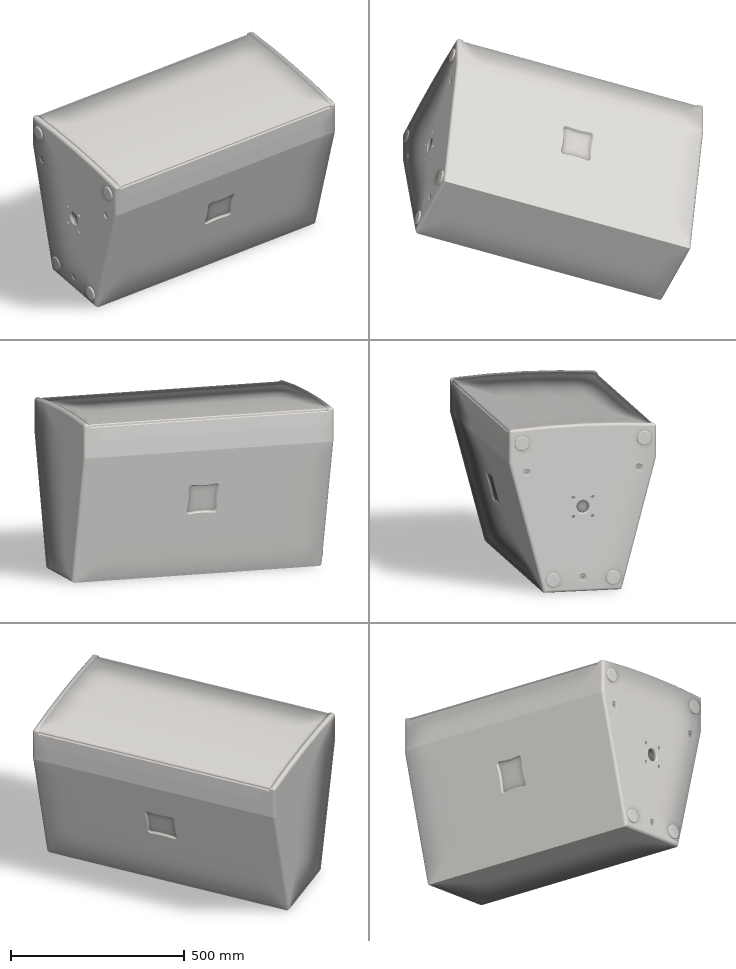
import cadquery as cq
import math


WIDTH = 435.0
LENGTH = 769.0
HEIGHT = 494.0
BASE_WIDTH = 231.0
BEND_Z = 384.5
CROWN_RISE = 9.0

FOOT_HEIGHT = 4.5
FOOT_DIAMETER = 42.0
FOOT_ROUND = 3.0
FOOT_CENTRES = [(181.0, 444.5), (89.0, 38.0)]

CAP_THICKNESS = 18.5
CAP_ROUND = 8.5
CAP_BEVEL_RUN = 4.5
CAP_BEVEL_DROP = 8.0

SHOULDER_Z = 475.0
SHOULDER_BEVEL = 4.0
GRILLE_DROP = 3.0
GRILLE_INSET = 5.0
GRILLE_BEVEL = 2.0

RELIEF_BOTTOM_Z = 434.5
RELIEF_DEPTH = 1.5
RELIEF_END_GAP = 1.5
RELIEF_END_RUN = 31.5

BADGE_SIZE = 98.5
BADGE_BOW = 5.0
BADGE_CORNER_RADIUS = 10.0
BADGE_DEPTH = 6.0
BADGE_WALL_RUN = 4.5
BADGE_Y = 8.0
BADGE_Z = 234.0

PLATE_DIAMETER = 108.0
PLATE_Z = 249.0
SOCKET_RIM_DIAMETER = 42.0
SOCKET_DIAMETER = 36.0
SOCKET_DEPTH = 15.0
PLATE_SCREW_OFFSET = 28.5

PLATE_SCREW = (11.5, 8.5, 5.0)
RIGGING_SCREW = (21.5, 15.0, 5.0)
RIGGING_POINTS = [(-166.0, 358.0), (166.0, 358.0), (0, 42.0)]
SCREW_RECESS_DEPTH = 4.0
SCREW_DRIVE_DEPTH = 4.0

HALF_WIDTH = WIDTH / 2
HALF_BASE = BASE_WIDTH / 2
EAVE_Z = HEIGHT - CROWN_RISE
FRONT_Y = FOOT_HEIGHT - LENGTH / 2
BACK_Y = LENGTH / 2
BODY_FRONT_Y = FRONT_Y + CAP_THICKNESS
BODY_BACK_Y = BACK_Y - CAP_THICKNESS
BODY_LENGTH = BODY_BACK_Y - BODY_FRONT_Y
ROOF_RADIUS = (HALF_WIDTH**2 + CROWN_RISE**2) / (2 * CROWN_RISE)


def section_at(y):
    """Sketch plane at a given Y with local axes X and Z; positive extrusion goes towards -Y."""
    return cq.Workplane("XZ", origin=(0, y, 0))


def roof_z(x):
    """Height of the curved cap roof at a given x."""
    return HEIGHT - ROOF_RADIUS + math.sqrt(ROOF_RADIUS**2 - x**2)


def both_sides(solid):
    """The solid together with its mirror image across the middle plane."""
    return solid.union(solid.mirror("YZ"))


def make_front_cap():
    cap = (
        section_at(FRONT_Y)
        .moveTo(-HALF_BASE, 0)
        .lineTo(HALF_BASE, 0)
        .lineTo(HALF_WIDTH, BEND_Z)
        .lineTo(HALF_WIDTH, EAVE_Z)
        .threePointArc((0, HEIGHT), (-HALF_WIDTH, EAVE_Z))
        .lineTo(-HALF_WIDTH, BEND_Z)
        .close()
        .extrude(-CAP_THICKNESS)
    )
    cap = cap.faces(">Y").edges(">Z").chamfer(CAP_BEVEL_DROP, CAP_BEVEL_RUN)
    top_corners = cq.selectors.BoxSelector(
        (-WIDTH, BODY_FRONT_Y, EAVE_Z - CAP_ROUND),
        (WIDTH, FRONT_Y, EAVE_Z + CAP_ROUND),
    )
    cap = cap.edges("|Y").edges(top_corners).fillet(CAP_ROUND)
    return cap.faces("<Y").edges().fillet(CAP_ROUND)


def make_body():
    half_ledge = HALF_WIDTH - SHOULDER_BEVEL
    bevel_z = SHOULDER_Z - SHOULDER_BEVEL
    return (
        section_at(BODY_FRONT_Y)
        .moveTo(-HALF_BASE, 0)
        .lineTo(HALF_BASE, 0)
        .lineTo(HALF_WIDTH, BEND_Z)
        .lineTo(HALF_WIDTH, bevel_z)
        .lineTo(half_ledge, SHOULDER_Z)
        .lineTo(-half_ledge, SHOULDER_Z)
        .lineTo(-HALF_WIDTH, bevel_z)
        .lineTo(-HALF_WIDTH, BEND_Z)
        .close()
        .extrude(-BODY_LENGTH)
    )


def make_grille():
    half_grille = HALF_WIDTH - GRILLE_INSET
    edge_z = roof_z(half_grille) - GRILLE_DROP
    grille = (
        section_at(BODY_FRONT_Y)
        .moveTo(-half_grille, SHOULDER_Z)
        .lineTo(half_grille, SHOULDER_Z)
        .lineTo(half_grille, edge_z)
        .threePointArc((0, HEIGHT - GRILLE_DROP), (-half_grille, edge_z))
        .close()
        .extrude(-BODY_LENGTH)
    )
    return grille.edges("|Y and (not <Z)").chamfer(GRILLE_BEVEL)


def make_relief():
    """Wedge with slanted ends, cut from the left flank."""
    wedge = (
        section_at(BODY_FRONT_Y)
        .moveTo(-HALF_WIDTH, RELIEF_BOTTOM_Z)
        .lineTo(-HALF_WIDTH, SHOULDER_Z)
        .lineTo(-HALF_WIDTH + RELIEF_DEPTH, SHOULDER_Z)
        .close()
        .extrude(-BODY_LENGTH)
    )
    top_front = BODY_FRONT_Y + RELIEF_END_GAP
    top_back = BODY_BACK_Y - RELIEF_END_GAP
    window = (
        cq.Workplane("YZ", origin=(-HALF_WIDTH, 0, 0))
        .moveTo(top_front + RELIEF_END_RUN, RELIEF_BOTTOM_Z)
        .lineTo(top_back - RELIEF_END_RUN, RELIEF_BOTTOM_Z)
        .lineTo(top_back, SHOULDER_Z)
        .lineTo(top_front, SHOULDER_Z)
        .close()
        .extrude(RELIEF_DEPTH)
    )
    return wedge.intersect(window)


def make_badge_recess():
    """Drafted pocket, cut from the left flank at right angles to it."""
    flank_run = HALF_WIDTH - HALF_BASE
    flank_x = -HALF_BASE - flank_run * BADGE_Z / BEND_Z
    inward = (BEND_Z, 0, flank_run)
    flank = cq.Plane(origin=(flank_x, BADGE_Y, BADGE_Z), xDir=(0, 1, 0), normal=inward)
    half = BADGE_SIZE / 2
    waist = half - BADGE_BOW
    draft = math.degrees(math.atan(BADGE_WALL_RUN / BADGE_DEPTH))
    outline = (
        cq.Sketch()
        .arc((-half, -half), (0, -waist), (half, -half))
        .arc((half, -half), (waist, 0), (half, half))
        .arc((half, half), (0, waist), (-half, half))
        .arc((-half, half), (-waist, 0), (-half, -half))
        .assemble()
        .vertices()
        .fillet(BADGE_CORNER_RADIUS)
    )
    return cq.Workplane(flank).placeSketch(outline).extrude(BADGE_DEPTH, taper=draft)


def make_foot(x, z):
    foot = section_at(FRONT_Y).center(x, z).circle(FOOT_DIAMETER / 2).extrude(FOOT_HEIGHT)
    return foot.faces("<Y").edges().fillet(FOOT_ROUND)


def turned_recess(x, z, profile):
    """Round recess in the front end, turned from (radius, depth) points."""
    points = [(0, 0)] + profile + [(0, profile[-1][1])]
    return (
        cq.Workplane("XY", origin=(x, FRONT_Y, z))
        .polyline(points)
        .close()
        .revolve(360, (0, 0), (0, 1))
    )


def screw_recess(x, z, diameters):
    """Tapered recess with a drive hole in its floor."""
    rim, floor, drive = [diameter / 2 for diameter in diameters]
    drive_end = SCREW_RECESS_DEPTH + SCREW_DRIVE_DEPTH
    profile = [(rim, 0), (floor, SCREW_RECESS_DEPTH), (drive, SCREW_RECESS_DEPTH), (drive, drive_end)]
    return turned_recess(x, z, profile)


def pole_socket():
    rim = SOCKET_RIM_DIAMETER / 2
    bore = SOCKET_DIAMETER / 2
    return turned_recess(0, PLATE_Z, [(rim, 0), (bore, rim - bore), (bore, SOCKET_DEPTH)])


middle_y = (FRONT_Y + BACK_Y) / 2
front_cap = make_front_cap()
back_cap = front_cap.mirror("XZ", (0, middle_y, 0))
body = make_body().union(make_grille(), clean=False)
body = body.cut(both_sides(make_relief()), clean=False)
body = body.cut(both_sides(make_badge_recess()), clean=False)

plate = section_at(FRONT_Y).center(0, PLATE_Z).circle(PLATE_DIAMETER / 2).extrude(-CAP_THICKNESS)
front_cap = front_cap.cut(plate).union(plate, clean=False)
result = body.union(front_cap, clean=False).union(back_cap, clean=False)

for foot_x, foot_z in FOOT_CENTRES:
    for side in (-1, 1):
        result = result.union(make_foot(side * foot_x, foot_z), clean=False)

for point_x, point_z in RIGGING_POINTS:
    result = result.cut(screw_recess(point_x, point_z, RIGGING_SCREW), clean=False)

result = result.cut(pole_socket(), clean=False)
for dx in (-PLATE_SCREW_OFFSET, PLATE_SCREW_OFFSET):
    for dz in (-PLATE_SCREW_OFFSET, PLATE_SCREW_OFFSET):
        result = result.cut(screw_recess(dx, PLATE_Z + dz, PLATE_SCREW), clean=False)